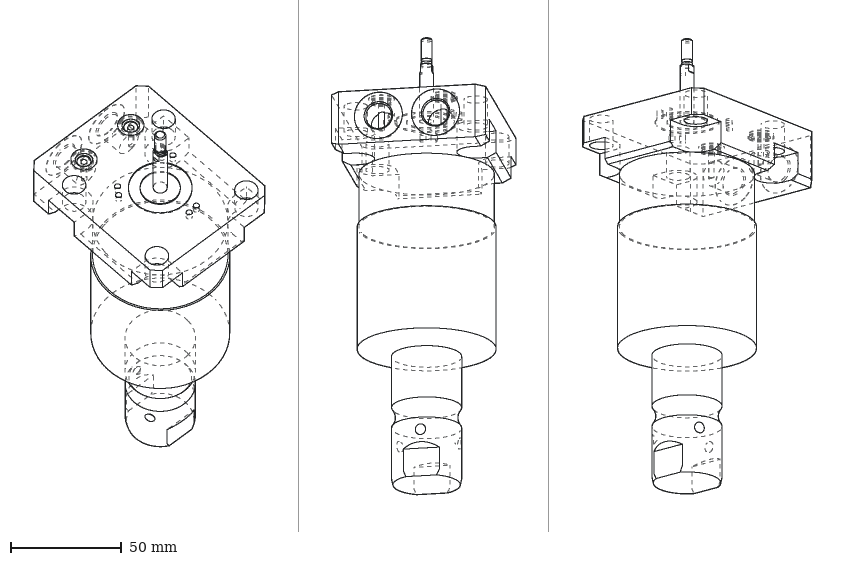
import cadquery as cq
import math


OVERALL_HEIGHT = 212.0
PLATE_TOP = 172.9
PLATE_THICKNESS = 25.0
PLATE_BOTTOM = PLATE_TOP - PLATE_THICKNESS
BARREL_TOP = 122.5
BARREL_BOTTOM = 64.5
STEM_TOP = 61.0

PLATE_LENGTH = 85.5
PLATE_WIDTH = 70.8
PLATE_X_MAX = PLATE_WIDTH / 2
PLATE_X_MIN = PLATE_X_MAX - PLATE_LENGTH
CORNER_CHAMFER = 4.0
UNDERSIDE_CHAMFER_HEIGHT = 2.1
SIDE_CHAMFER_WIDTH = 4.0
END_CHAMFER_WIDTH = 2.1

MOUNT_OFFSET = 27.5
MOUNT_RADIUS = 5.3
POCKET_RADIUS = 8.5
POCKET_HEIGHT = 12.3

NECK_RADIUS = 61.3 / 2
BARREL_RADIUS = 63.0 / 2
BARREL_FOOT_RADIUS = 19.7
STEM_RADIUS = 16.0
STEM_FOOT_RADIUS = 15.3
STEM_CHAMFER_HEIGHT = 2.8
GROOVE_TOP = 36.7
GROOVE_BOTTOM = 27.1
GROOVE_DEPTH = 1.7
FLAT_OFFSET = 13.5
FLAT_HEIGHT = 13.1
DIMPLE_COUNT = 3
FIRST_DIMPLE_ANGLE = 180
DIMPLE_HEIGHT = 21.5
DIMPLE_RADIUS = 2.5
DIMPLE_DEPTH = 2.3

ROD_RADIUS = 3.2
ROD_TIP_RADIUS = 2.5
ROD_TIP_CHAMFER = 0.6
ROD_SHOULDER = 199.5
ROD_GROOVE_BOTTOM = 200.8
ROD_GROOVE_TOP = 202.1
ROD_GROOVE_DEPTH = 0.2
ROD_FLAT_BOTTOM = 196.2

RECESS_OUTER_RADIUS = 14.5
RECESS_INNER_RADIUS = 9.1
RECESS_DEPTH = 0.6

PIN_CIRCLE_RADIUS = 19.3
PIN_RADIUS = 1.38
PIN_DEPTH = 3.2
PIN_PAIR_ANGLES = (0, 120, 225)
PIN_PAIR_SPACING = 15

PORT_Y = 13.1
PORT_Z = 160.5
PORT_RADIUS = 6.0
PORT_DEPTH = 14.8
PORT_CHAMFER = 0.6
PORT_FACE_RADIUS = 11.0
PORT_FACE_DEPTH = 0.2
SEAL_Y = 14.5
SEAL_X = PLATE_X_MIN + PORT_DEPTH
SEAL_SEAT_RADIUS = 6.0
SEAL_SEAT_DEPTH = 1.3
SEAL_TUBE_RADIUS = 1.0
SEAL_PROTRUSION = 0.6
SEAL_OVERLAP = 0.1
SEAL_RING_RADIUS = SEAL_SEAT_RADIUS - SEAL_TUBE_RADIUS + SEAL_OVERLAP
SEAL_BORE_RADIUS = 3.2
SEAL_BORE_DEPTH = 2.0
DRILLING_RADIUS = 1.38
DRILLING_BOTTOM = 158.5


def cylinder(radius, bottom, top, x=0.0, y=0.0):
    """Upright cylinder between two heights."""
    return cq.Workplane("XY", origin=(x, y, bottom)).circle(radius).extrude(top - bottom)


def make_plate():
    """Plate with cut corners, chamfered underneath on its +Y, -Y and +X sides."""
    half_width = PLATE_WIDTH / 2
    chamfer_top = PLATE_BOTTOM + UNDERSIDE_CHAMFER_HEIGHT
    width_profile = [
        (-half_width + SIDE_CHAMFER_WIDTH, PLATE_BOTTOM),
        (half_width - SIDE_CHAMFER_WIDTH, PLATE_BOTTOM),
        (half_width, chamfer_top),
        (half_width, PLATE_TOP),
        (-half_width, PLATE_TOP),
        (-half_width, chamfer_top),
    ]
    length_profile = [
        (PLATE_X_MIN, PLATE_BOTTOM),
        (PLATE_X_MAX - END_CHAMFER_WIDTH, PLATE_BOTTOM),
        (PLATE_X_MAX, chamfer_top),
        (PLATE_X_MAX, PLATE_TOP),
        (PLATE_X_MIN, PLATE_TOP),
    ]
    across = cq.Workplane("YZ", origin=(PLATE_X_MIN, 0, 0)).polyline(width_profile).close()
    along = cq.Workplane("XZ", origin=(0, half_width, 0)).polyline(length_profile).close()
    outline = (
        cq.Workplane("XY", origin=(PLATE_X_MIN + PLATE_LENGTH / 2, 0, PLATE_BOTTOM))
        .rect(PLATE_LENGTH, PLATE_WIDTH)
        .extrude(PLATE_THICKNESS)
        .edges("|Z")
        .chamfer(CORNER_CHAMFER)
    )
    return outline.intersect(across.extrude(PLATE_LENGTH)).intersect(along.extrude(PLATE_WIDTH))


def pocket(x_side, y_side):
    """Clearance below one mounting hole, open along Y, and along X as well on the +X side."""
    x = x_side * MOUNT_OFFSET
    y = y_side * MOUNT_OFFSET
    center = cq.Workplane("XY", origin=(x, y, PLATE_BOTTOM))
    shape = center.circle(POCKET_RADIUS).extrude(POCKET_HEIGHT)
    y_opening = center.center(0, y_side * POCKET_RADIUS).rect(2 * POCKET_RADIUS, 2 * POCKET_RADIUS)
    shape = shape.union(y_opening.extrude(POCKET_HEIGHT))
    if x_side > 0:
        x_opening = center.center(POCKET_RADIUS, 0).rect(2 * POCKET_RADIUS, 2 * POCKET_RADIUS)
        shape = shape.union(x_opening.extrude(POCKET_HEIGHT))
        corner = center.center(POCKET_RADIUS, y_side * POCKET_RADIUS)
        shape = shape.union(corner.rect(2 * POCKET_RADIUS, 2 * POCKET_RADIUS).extrude(POCKET_HEIGHT))
    return shape


def make_body():
    """Neck, barrel and grooved stem turned as one profile."""
    groove_middle = (GROOVE_TOP + GROOVE_BOTTOM) / 2
    return (
        cq.Workplane("XZ")
        .moveTo(0, 0)
        .lineTo(STEM_FOOT_RADIUS, 0)
        .lineTo(STEM_RADIUS, STEM_CHAMFER_HEIGHT)
        .lineTo(STEM_RADIUS, GROOVE_BOTTOM)
        .threePointArc((STEM_RADIUS - GROOVE_DEPTH, groove_middle), (STEM_RADIUS, GROOVE_TOP))
        .lineTo(STEM_RADIUS, STEM_TOP)
        .lineTo(BARREL_FOOT_RADIUS, STEM_TOP)
        .lineTo(BARREL_RADIUS, BARREL_BOTTOM)
        .lineTo(BARREL_RADIUS, BARREL_TOP)
        .lineTo(NECK_RADIUS, BARREL_TOP)
        .lineTo(NECK_RADIUS, PLATE_BOTTOM)
        .lineTo(0, PLATE_BOTTOM)
        .close()
        .revolve()
    )


def wrench_flats():
    """Cutters for the flats on both X sides of the stem, each with a 45 degree run-out."""
    reach = 2 * STEM_RADIUS
    right = (
        cq.Workplane("XZ", origin=(0, STEM_RADIUS, 0))
        .polyline([
            (FLAT_OFFSET, 0),
            (reach, 0),
            (reach, FLAT_HEIGHT + reach - FLAT_OFFSET),
            (FLAT_OFFSET, FLAT_HEIGHT),
        ])
        .close()
        .extrude(reach)
    )
    return right.union(right.mirror("YZ"))


def dimple(angle):
    """Conical cutter pointing at the stem axis, widening outward past the surface."""
    tip = STEM_RADIUS - DIMPLE_DEPTH
    mouth = STEM_RADIUS + DIMPLE_DEPTH
    mouth_radius = 2 * DIMPLE_RADIUS
    cone = cq.Solid.makeCone(
        0, mouth_radius, mouth - tip, cq.Vector(tip, 0, DIMPLE_HEIGHT), cq.Vector(1, 0, 0)
    )
    return cq.Workplane(cone).rotate((0, 0, 0), (0, 0, 1), angle)


def make_rod():
    """Stepped rod with a grooved tip, and two small flats running out under its shoulder."""
    groove_radius = ROD_TIP_RADIUS - ROD_GROOVE_DEPTH
    rod_foot = PLATE_TOP - RECESS_DEPTH
    rod = (
        cq.Workplane("XZ")
        .polyline([
            (0, rod_foot),
            (ROD_RADIUS, rod_foot),
            (ROD_RADIUS, ROD_SHOULDER),
            (ROD_TIP_RADIUS, ROD_SHOULDER),
            (ROD_TIP_RADIUS, ROD_GROOVE_BOTTOM),
            (groove_radius, ROD_GROOVE_BOTTOM),
            (groove_radius, ROD_GROOVE_TOP),
            (ROD_TIP_RADIUS, ROD_GROOVE_TOP),
            (ROD_TIP_RADIUS, OVERALL_HEIGHT - ROD_TIP_CHAMFER),
            (ROD_TIP_RADIUS - ROD_TIP_CHAMFER, OVERALL_HEIGHT),
            (0, OVERALL_HEIGHT),
        ])
        .close()
        .revolve()
    )
    flat = (
        cq.Workplane("YZ", origin=(-ROD_RADIUS, 0, 0))
        .polyline([
            (ROD_TIP_RADIUS, ROD_FLAT_BOTTOM),
            (ROD_RADIUS, ROD_FLAT_BOTTOM - (ROD_RADIUS - ROD_TIP_RADIUS)),
            (ROD_RADIUS, ROD_SHOULDER),
            (ROD_TIP_RADIUS, ROD_SHOULDER),
        ])
        .close()
        .extrude(2 * ROD_RADIUS)
    )
    return rod.cut(flat).cut(flat.mirror("XZ"))


def port_cutter(y):
    """Blind port entering the -X side, with a chamfered mouth in a shallow round face."""
    side = cq.Workplane("YZ", origin=(PLATE_X_MIN, y, PORT_Z))
    bore = side.circle(PORT_RADIUS).extrude(PORT_DEPTH)
    face = side.circle(PORT_FACE_RADIUS).extrude(PORT_FACE_DEPTH)
    mouth = cq.Solid.makeCone(
        PORT_RADIUS + PORT_CHAMFER,
        PORT_RADIUS,
        PORT_CHAMFER,
        cq.Vector(PLATE_X_MIN + PORT_FACE_DEPTH, y, PORT_Z),
        cq.Vector(1, 0, 0),
    )
    return bore.union(face).union(cq.Workplane(mouth))


def add_port(part, side):
    """Side port, the drilling that joins it to the top face, and the seal ring on top."""
    y = side * SEAL_Y
    part = part.cut(port_cutter(side * PORT_Y))
    part = part.cut(cylinder(DRILLING_RADIUS, DRILLING_BOTTOM, PLATE_TOP, SEAL_X, y))
    part = part.cut(cylinder(SEAL_BORE_RADIUS, PLATE_TOP - SEAL_BORE_DEPTH, PLATE_TOP, SEAL_X, y))
    part = part.cut(cylinder(SEAL_SEAT_RADIUS, PLATE_TOP - SEAL_SEAT_DEPTH, PLATE_TOP, SEAL_X, y))
    ring_height = PLATE_TOP + SEAL_PROTRUSION - SEAL_TUBE_RADIUS
    ring = cq.Solid.makeTorus(SEAL_RING_RADIUS, SEAL_TUBE_RADIUS, cq.Vector(SEAL_X, y, ring_height))
    return part.union(cq.Workplane(ring))


def ring_recess():
    """Shallow ring cut into the plate's top face around the rod."""
    floor = PLATE_TOP - RECESS_DEPTH
    return cylinder(RECESS_OUTER_RADIUS, floor, PLATE_TOP).cut(
        cylinder(RECESS_INNER_RADIUS, floor, PLATE_TOP)
    )


def pin_hole(angle):
    """One small blind hole on the pin circle."""
    x = PIN_CIRCLE_RADIUS * math.cos(math.radians(angle))
    y = PIN_CIRCLE_RADIUS * math.sin(math.radians(angle))
    return cylinder(PIN_RADIUS, PLATE_TOP - PIN_DEPTH, PLATE_TOP, x, y)


mount_sides = [(x_side, y_side) for x_side in (-1, 1) for y_side in (-1, 1)]
result = make_plate()
for x_side, y_side in mount_sides:
    result = result.cut(pocket(x_side, y_side))
result = result.union(make_body())

for x_side, y_side in mount_sides:
    mount_x = x_side * MOUNT_OFFSET
    mount_y = y_side * MOUNT_OFFSET
    result = result.cut(cylinder(MOUNT_RADIUS, PLATE_BOTTOM, PLATE_TOP, mount_x, mount_y))

result = result.cut(wrench_flats())
for index in range(DIMPLE_COUNT):
    result = result.cut(dimple(FIRST_DIMPLE_ANGLE + index * 360 / DIMPLE_COUNT))

result = result.cut(ring_recess())
for pair_angle in PIN_PAIR_ANGLES:
    for pin_angle in (pair_angle, pair_angle + PIN_PAIR_SPACING):
        result = result.cut(pin_hole(pin_angle))
for side in (-1, 1):
    result = add_port(result, side)
result = result.union(make_rod())